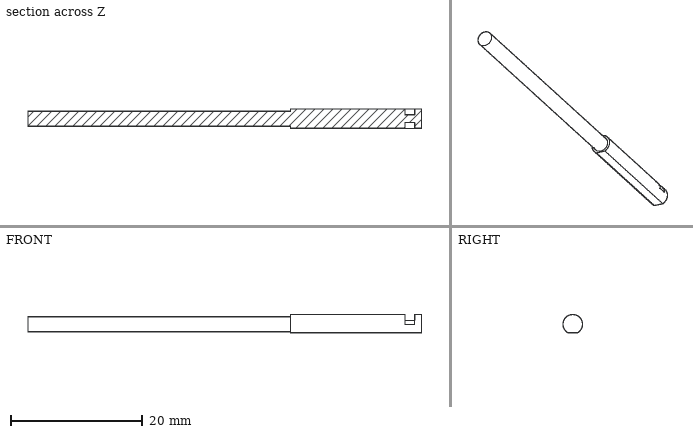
import cadquery as cq

total_length = 60.0
shaft_length = total_length * 2 / 3
shaft_diameter = 2.35
head_diameter = 3.0
flat_depth = 0.2

end_collar_length = 1.1
groove_width = 1.45
groove_floor_z = 0.0
core_diameter = 1.2

head_length = total_length - shaft_length
head_radius = head_diameter / 2
groove_start = total_length - end_collar_length - groove_width


def rod(start, length, diameter):
    """Cylinder along +X, beginning at X = start."""
    return cq.Workplane("YZ", origin=(start, 0, 0)).circle(diameter / 2).extrude(length)


def block_above(start, length, bottom_z, height):
    """Box as wide as the head, centred on Y, rising from bottom_z."""
    return cq.Workplane("XY", origin=(start, 0, bottom_z)).box(
        length, head_diameter, height, centered=(False, True, False)
    )


shaft = rod(0, shaft_length, shaft_diameter)
head = rod(shaft_length, head_length, head_diameter)

head = head.cut(block_above(shaft_length, head_length, -head_radius, flat_depth))

groove = block_above(groove_start, groove_width, groove_floor_z, head_radius)
core = rod(groove_start, groove_width, core_diameter)
head = head.cut(groove.cut(core))

result = shaft.union(head)